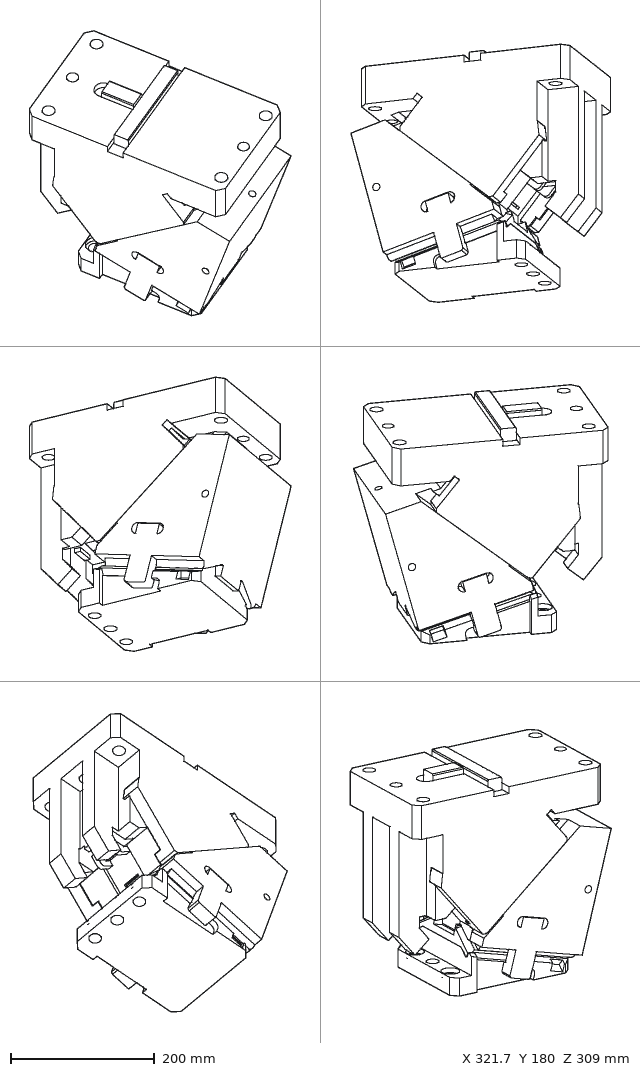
import cadquery as cq
import math

HALF_WIDTH = 90.0
FAR = 482.5

SLIDE_ANGLE = 40.0
SLIDE_N = -6.5
RAIL_TOP_N = 12.0
HEAD_TOP_N = 49.5
SLIDE_START_S = 142.5
SLOT_START_S = 115.8
RAIL_END_S = 323.0
HEAD_END_S = 328.0
RELIEF_END_S = 333.0
NECK_HALF = 59.0
HEAD_HALF = 70.5

GUIDE_ANGLE = 15.0
ROOF_ANGLE = 30.0
GUIDE_START_U = 81.0
GUIDE_EDGE_Y = 70.5
GUIDE_EDGE_V = 87.0
GUIDE_PEAK_V = 110.7
CHANNEL_HALF = 26.0
CHANNEL_V = 94.5

PLATE_LENGTH = 309.8
PLATE_TOP = 299.8
PLATE_FRONT_BOTTOM = 250.0
PLATE_REAR_BOTTOM = 244.8
PLATE_CORNER = 10.0
PLATE_HOLES = (
    (25.0, 70.0, 17.7),
    (25.0, 0.0, 16.7),
    (295.0, 65.0, 18.0),
    (295.0, 0.0, 16.0),
)
KEY_TOP = 309.0
KEY_SLOT_DEPTH = 10.0
KEY_CHAMFER_HEIGHT = 2.3
KEY_CHAMFER_WIDTH = 1.0
CROSS_SLOT = (128.7, 153.5)
CROSS_KEY = (129.5, 152.5)
CROSS_KEY_HALF = 73.0
LONG_SLOT_HALF = 13.0
LONG_SLOT_CENTER = 73.7
LONG_KEY = (77.5, 127.7)
LONG_KEY_HALF = 12.2

BODY_LEFT = 45.0
BODY_INNER_BOTTOM = 116.8
TIP_Z = 89.8
PAD_X = 42.0
PAD_TOP = 192.5
PAD_TOP_X = 44.5
PAD_INNER_Y = 59.8
ARM_INNER_Y = 22.5
ARM_OUTER_Y = 46.5
RAIL_CORNER = (3.5, 4.2)
HOOK = (
    (0.0, 93.3),
    (26.7, 61.8),
    (49.5, 81.0),
    (34.0, 100.0),
    (34.0, 116.8),
)
TONGUE_HALF = 14.0
TONGUE_BOTTOM = 124.0
WEB_X = 36.0
POCKET_X = 34.0
POCKET_HALF = 41.5
POCKET_TOP = 130.0
STOP_HALF = 38.5
STOP_BOTTOM_N = 4.5
STOP_CHAMFER = 9.3
STOP_END_S = 418.2

SLIDER_START_U = 87.0
HEAD_START_S = 144.5
SLIDER_END_U = 257.7
SLIDER_TOP_V = 281.2
WING_V = 96.5
FOOT_START_U = 96.0
FOOT_ROUNDING = 5.0
TAB_U = (144.8, 179.8)
TAB_BOTTOM_V = 56.0
HOOK_TOP_V = 72.7
TAB_CORNER = 3.0
TAB_TOP_V = 145.5
SEAM = 1.0
RELIEF_RADIUS = 8.0
SIDE_HOLE = (283.7, 122.2)
SIDE_HOLE_DIAMETER = 10.5
SIDE_HOLE_DEPTH = 5.0
TOP_HOLE_U = 244.5
TOP_HOLE_DIAMETER = 10.0
TOP_HOLE_DEPTH = 19.3
NOSE_X = 117.5
NOSE_S = 151.2
PRONG_Y = (14.0, 22.0)
PRONG_N = 41.2
PRONG_START_S = 126.7
PRONG_ROUNDING = 6.5
CLIP_SLOT_N = (5.0, 8.5)
CLIP_SLOT_HALF = 13.5
CLIP_SLOT_DEPTH = 4.5
WEAR_STEP = 2.0
WEAR_STEP_END_S = 181.5

BASE_LEFT = 70.5
BASE_WALL_LEFT = 99.7
BASE_RIGHT = 264.8
FLANGE_TOP = 26.7
BASE_HALF = 77.2
BASE_SIDE_HALF = 69.0
END_WALL = 9.5
BASE_CORNER = 10.0
GUIDE_PLATE_THICKNESS = 13.0
GUIDE_PLATE_END_U = 162.5
GUIDE_FLOOR_V = 84.3
PLATE_EDGE_Y = 72.5
REAR_GUIDE_EDGE_Y = 64.5
REAR_GUIDE_THICKNESS = 3.5
BASE_EDGE_V = 78.8
PLATE_EDGE_BEVEL = 2.5
BEVEL_DEPTH = 6.0
BEVEL_LENGTH = 9.0
BEVEL_INNER_Y = 30.5
FLANGE_HOLE_X = 85.0
FLANGE_HOLE_Y = 46.0
FLANGE_HOLE_DIAMETER = 17.5
FLANGE_BORE_DIAMETER = 26.0
FLANGE_BORE_DEPTH = 7.0
DOWEL_DIAMETER = 18.0
NOTCH_U = (220.5, 240.5)
NOTCH_V = 67.2
NOTCH_INNER_Y = 65.3
NOTCH_WALL = 9.5
SIDE_RELIEF_END_U = 194.5
SIDE_RELIEF_V = 68.2
SIDE_RELIEF_ROUNDING = 8.0


def tilted(along, across, angle):
    """X, Z of a point given along and across an axis turned by `angle` from +X towards +Z."""
    a = math.radians(angle)
    return (along * math.cos(a) - across * math.sin(a), along * math.sin(a) + across * math.cos(a))


def slide(s, n):
    return tilted(s, n, SLIDE_ANGLE)


def guide(u, v):
    return tilted(u, v, -GUIDE_ANGLE)


def prism(points, y_from, y_to):
    """Side outline in X, Z given a thickness from y_from to y_to."""
    plane = cq.Workplane("XZ", origin=(0, y_to, 0))
    return plane.polyline(points).close().extrude(y_to - y_from)


def centered_prism(points, half):
    return prism(points, -half, half)


def pair(solid):
    """A shape together with its mirror image across the middle plane."""
    return solid.union(solid.mirror("XZ"))


def slide_at_x(s, x):
    """Point with the given X on the line square to the slideway at s."""
    a = math.radians(SLIDE_ANGLE)
    return slide(s, (s * math.cos(a) - x) / math.sin(a))


def slide_at_z(s, z):
    """Point with the given Z on the line square to the slideway at s."""
    a = math.radians(SLIDE_ANGLE)
    return slide(s, (z - s * math.sin(a)) / math.cos(a))


def level_at_z(n, z):
    """Point with the given Z on the line along the slideway at n."""
    a = math.radians(SLIDE_ANGLE)
    return slide((z - n * math.cos(a)) / math.sin(a), n)


def nearest(point, y):
    """Selector for the edge whose middle is nearest to a point in X, Z at the given Y."""
    return cq.selectors.NearestToPointSelector((point[0], y, point[1]))


def slide_box(s_range, n_range, half):
    corners = [(s, n_range[0]) for s in s_range] + [(s, n_range[1]) for s in reversed(s_range)]
    return centered_prism([slide(s, n) for s, n in corners], half)


def guide_box(u_range, v_range, y_from, y_to):
    corners = [(u, v_range[0]) for u in u_range] + [(u, v_range[1]) for u in reversed(u_range)]
    return prism([guide(u, v) for u, v in corners], y_from, y_to)


def guide_section(points, u_from, u_to):
    """Cross-section in Y, v drawn square to the guide and extruded along it."""
    x, z = guide(u_from, 0)
    a = math.radians(GUIDE_ANGLE)
    plane = cq.Plane(origin=(x, 0, z), xDir=(0, 1, 0), normal=(math.cos(a), 0, -math.sin(a)))
    return cq.Workplane(plane).polyline(points).close().extrude(u_to - u_from)


def box(x_range, y_range, z_range):
    size = [r[1] - r[0] for r in (x_range, y_range, z_range)]
    corner = (x_range[0], y_range[0], z_range[0])
    return cq.Workplane("XY").box(*size, centered=False).translate(corner)


def cylinder(x, y, z_from, z_to, diameter):
    return cq.Workplane("XY", origin=(x, y, z_from)).circle(diameter / 2).extrude(z_to - z_from)


def roof_v(y):
    """Height of a guide face at distance y from the middle."""
    return GUIDE_EDGE_V + (GUIDE_EDGE_Y - y) * math.tan(math.radians(ROOF_ANGLE))


def top_plate():
    front = box((0, PLATE_LENGTH / 2), (-HALF_WIDTH, HALF_WIDTH), (PLATE_FRONT_BOTTOM, PLATE_TOP))
    rear = box((PLATE_LENGTH / 2, PLATE_LENGTH), (-HALF_WIDTH, HALF_WIDTH), (PLATE_REAR_BOTTOM, PLATE_TOP))
    return front.union(rear).edges("(<X or >X) and |Z").chamfer(PLATE_CORNER)


def holder_body():
    """Block under the plate, ending in the rails; the slot for the slider is cut later."""
    rail_s, rail_n = RAIL_CORNER
    points = [
        (BODY_LEFT, PLATE_FRONT_BOTTOM),
        slide_at_x(SLIDE_START_S, BODY_LEFT),
        slide_at_z(SLIDE_START_S, TIP_Z),
        level_at_z(SLIDE_N, TIP_Z),
        slide(RAIL_END_S - rail_s, SLIDE_N),
        slide(RAIL_END_S, SLIDE_N + rail_n),
        slide_at_z(RAIL_END_S, PLATE_FRONT_BOTTOM),
    ]
    return centered_prism(points, HALF_WIDTH)


def body_core():
    """Block between the side walls, reaching further down at the front."""
    points = [
        (BODY_LEFT, PLATE_FRONT_BOTTOM),
        (BODY_LEFT, BODY_INNER_BOTTOM),
        level_at_z(HEAD_TOP_N, BODY_INNER_BOTTOM),
        level_at_z(HEAD_TOP_N, PLATE_FRONT_BOTTOM),
    ]
    return centered_prism(points, HEAD_HALF)


def bearing_pads():
    """Raised pads with a sloping face on the front of the side walls and of the block beside them."""
    foot = slide_at_x(SLIDE_START_S, PAD_X)
    face = [(BODY_LEFT, PAD_TOP), (PAD_TOP_X, PAD_TOP), foot]
    inner = prism([*face, (BODY_LEFT, foot[1])], PAD_INNER_Y, HEAD_HALF)
    outer = prism([*face, slide_at_x(SLIDE_START_S, BODY_LEFT)], HEAD_HALF, HALF_WIDTH)
    return pair(inner.union(outer))


def hook_arms():
    points = [
        (0, PLATE_FRONT_BOTTOM),
        *HOOK,
        (BODY_LEFT, BODY_INNER_BOTTOM),
        (BODY_LEFT, PLATE_FRONT_BOTTOM),
    ]
    return pair(prism(points, ARM_INNER_Y, ARM_OUTER_Y))


def arm_web():
    """Web between the arms, with a tongue at its lower end."""
    web = box((WEB_X, BODY_LEFT), (-ARM_INNER_Y, ARM_INNER_Y), (POCKET_TOP, PLATE_FRONT_BOTTOM))
    return web.union(box((WEB_X, BODY_LEFT), (-TONGUE_HALF, TONGUE_HALF), (TONGUE_BOTTOM, POCKET_TOP)))


def stop_rib():
    """Rib under the plate past the slider head, chamfered on both long lower edges."""
    x, z = slide(RELIEF_END_S, 0)
    a = math.radians(SLIDE_ANGLE)
    plane = cq.Plane(origin=(x, 0, z), xDir=(0, -1, 0), normal=(-math.cos(a), 0, -math.sin(a)))
    section = [
        (-STOP_HALF, HEAD_TOP_N),
        (-STOP_HALF, STOP_BOTTOM_N + STOP_CHAMFER),
        (STOP_CHAMFER - STOP_HALF, STOP_BOTTOM_N),
        (STOP_HALF - STOP_CHAMFER, STOP_BOTTOM_N),
        (STOP_HALF, STOP_BOTTOM_N + STOP_CHAMFER),
        (STOP_HALF, HEAD_TOP_N),
    ]
    rib = cq.Workplane(plane).polyline(section).close().extrude(RELIEF_END_S - STOP_END_S)
    above_slider = guide_box((0, FAR), (SLIDER_TOP_V, FAR), -STOP_HALF, STOP_HALF)
    below_plate = box((0, PLATE_LENGTH), (-STOP_HALF, STOP_HALF), (0, PLATE_REAR_BOTTOM))
    return rib.intersect(above_slider).intersect(below_plate)


def slider_slot():
    """T-shaped slot along the slideway, level with the body's bottom at its lower end."""
    head = [
        (BODY_LEFT, BODY_INNER_BOTTOM),
        level_at_z(HEAD_TOP_N, BODY_INNER_BOTTOM),
        slide(RELIEF_END_S, HEAD_TOP_N),
        slide(RELIEF_END_S, RAIL_TOP_N),
        slide(SLOT_START_S, RAIL_TOP_N),
    ]
    neck = slide_box((SLOT_START_S, RELIEF_END_S), (SLIDE_N, RAIL_TOP_N), NECK_HALF)
    return centered_prism(head, HEAD_HALF).union(neck)


def end_gap():
    return slide_box((RAIL_END_S, RELIEF_END_S), (SLIDE_N, HEAD_TOP_N), HALF_WIDTH)


def front_pocket():
    """Pocket behind the arm necks, open downwards into the slider slot."""
    points = [
        (POCKET_X, BODY_INNER_BOTTOM),
        (POCKET_X, POCKET_TOP),
        level_at_z(HEAD_TOP_N, POCKET_TOP),
        level_at_z(HEAD_TOP_N, BODY_INNER_BOTTOM),
    ]
    return centered_prism(points, POCKET_HALF)


def key_slots():
    z_range = (PLATE_TOP - KEY_SLOT_DEPTH, PLATE_TOP)
    cross = box(CROSS_SLOT, (-HALF_WIDTH, HALF_WIDTH), z_range)
    long = box((LONG_SLOT_CENTER, CROSS_SLOT[0]), (-LONG_SLOT_HALF, LONG_SLOT_HALF), z_range)
    round_end = cylinder(LONG_SLOT_CENTER, 0, *z_range, 2 * LONG_SLOT_HALF)
    return cross.union(long).union(round_end)


def key(x_range, half, long_edges):
    """Key standing on the slot floor, with its two long top edges bevelled."""
    bar = box(x_range, (-half, half), (PLATE_TOP - KEY_SLOT_DEPTH, KEY_TOP))
    return bar.faces(">Z").edges(long_edges).chamfer(KEY_CHAMFER_HEIGHT, KEY_CHAMFER_WIDTH)


def plate_holes():
    holes = cq.Workplane("XY")
    for x, y, diameter in PLATE_HOLES:
        for side_y in {y, -y}:
            holes = holes.add(cylinder(x, side_y, PLATE_REAR_BOTTOM, PLATE_TOP, diameter))
    return holes.combine()


def make_holder():
    holder = top_plate().union(holder_body()).union(body_core()).union(bearing_pads()).union(hook_arms())
    holder = holder.cut(slider_slot()).cut(end_gap()).cut(front_pocket())
    holder = holder.union(arm_web()).union(stop_rib())
    holder = holder.cut(key_slots()).cut(plate_holes())
    return holder.union(key(CROSS_KEY, CROSS_KEY_HALF, "|Y")).union(key(LONG_KEY, LONG_KEY_HALF, "|X"))


def guide_tip(edge_y, edge_v, depth):
    """Point reached by going `depth` into the guide face, square to it, from its outer edge."""
    a = math.radians(ROOF_ANGLE)
    return (edge_y - depth * math.sin(a), edge_v - depth * math.cos(a))


def ridge_outline(outer):
    """Guide section: the points on the right half below and outside the guide face, then its mirror."""
    peak_y = GUIDE_EDGE_Y - (GUIDE_PEAK_V - GUIDE_EDGE_V) / math.tan(math.radians(ROOF_ANGLE))
    half = [*outer, (peak_y, GUIDE_PEAK_V), (CHANNEL_HALF, GUIDE_PEAK_V), (CHANNEL_HALF, CHANNEL_V)]
    return half + [(-y, v) for y, v in reversed(half)]


def guide_relief():
    """Everything below the guide faces, over the whole length of the slider."""
    outer = [(HALF_WIDTH, 0), (HALF_WIDTH, roof_v(HALF_WIDTH))]
    return guide_section(ridge_outline(outer), 0, FAR)


def top_s(n):
    """Position along the slideway where the level n meets the slider's top."""
    a = math.radians(SLIDE_ANGLE + GUIDE_ANGLE)
    return (SLIDER_TOP_V - n * math.cos(a)) / math.sin(a)


def top_n(s):
    """Level at which the line square to the slideway at s meets the slider's top."""
    a = math.radians(SLIDE_ANGLE + GUIDE_ANGLE)
    return (SLIDER_TOP_V - s * math.sin(a)) / math.cos(a)


def slider_body():
    points = [
        guide(SLIDER_START_U, GUIDE_EDGE_V),
        guide(SLIDER_END_U, GUIDE_EDGE_V),
        guide(SLIDER_END_U, SLIDER_TOP_V),
        slide(top_s(SLIDE_N), SLIDE_N),
        slide(SLIDE_START_S, SLIDE_N),
    ]
    foot_corner = nearest(guide(SLIDER_END_U, GUIDE_EDGE_V), 0)
    return centered_prism(points, HALF_WIDTH).edges(foot_corner).fillet(FOOT_ROUNDING)


def slider_neck():
    """Neck between the rails."""
    a = math.radians(SLIDE_ANGLE + GUIDE_ANGLE)
    start_n = (HEAD_START_S * math.cos(a) - SLIDER_START_U) / math.sin(a)
    points = [
        guide(SLIDER_START_U, WING_V),
        slide(HEAD_START_S, start_n),
        slide(HEAD_START_S, RAIL_TOP_N),
        slide(top_s(RAIL_TOP_N), RAIL_TOP_N),
        slide(top_s(SLIDE_N), SLIDE_N),
        guide(FOOT_START_U, WING_V),
    ]
    return centered_prism(points, NECK_HALF)


def slider_head():
    points = [
        slide(HEAD_START_S, RAIL_TOP_N),
        slide(HEAD_START_S, HEAD_TOP_N),
        slide(HEAD_END_S, HEAD_TOP_N),
        slide(HEAD_END_S, top_n(HEAD_END_S)),
        slide(top_s(RAIL_TOP_N), RAIL_TOP_N),
    ]
    return centered_prism(points, HEAD_HALF)


def wing_reliefs():
    """Space under the side wings, outside the foot and ahead of its front end."""
    slope = math.tan(math.radians(ROOF_ANGLE))
    foot_top_y = GUIDE_EDGE_Y + (WING_V - GUIDE_EDGE_V) * slope
    section = [
        (GUIDE_EDGE_Y, GUIDE_EDGE_V),
        (foot_top_y, WING_V),
        (HALF_WIDTH, WING_V),
        (HALF_WIDTH, GUIDE_EDGE_V),
    ]
    sides = pair(guide_section(section, 0, FAR))
    return sides.union(guide_box((0, FOOT_START_U), (0, WING_V), -HALF_WIDTH, HALF_WIDTH))


def nose_recess():
    """Upright recess in the lower end of the slider, above the channel of the guide."""
    points = [
        (0, 0),
        (NOSE_X, 0),
        slide_at_x(NOSE_S, NOSE_X),
        slide(NOSE_S, HEAD_TOP_N),
        (0, slide(NOSE_S, HEAD_TOP_N)[1]),
    ]
    return centered_prism(points, CHANNEL_HALF)


def clip_slot():
    """Shallow slot across the inner wall of the nose recess."""
    return slide_box((NOSE_S, NOSE_S + CLIP_SLOT_DEPTH), CLIP_SLOT_N, CLIP_SLOT_HALF)


def wear_step():
    return slide_box((0, WEAR_STEP_END_S), (SLIDE_N - WEAR_STEP, SLIDE_N), HALF_WIDTH)


def nose_prong():
    """Prong that reaches out of the recess and up to the holder's pocket; built on the middle plane."""
    half = (PRONG_Y[1] - PRONG_Y[0]) / 2
    bar = slide_box((PRONG_START_S, NOSE_S), (PRONG_N, HEAD_TOP_N), half)
    bar = bar.edges(nearest(slide(PRONG_START_S, PRONG_N), 0)).fillet(PRONG_ROUNDING)
    tip_outline = [
        slide(PRONG_START_S, HEAD_TOP_N),
        slide_at_z(PRONG_START_S, POCKET_TOP),
        level_at_z(HEAD_TOP_N, POCKET_TOP),
    ]
    return bar.union(centered_prism(tip_outline, half))


def side_tabs():
    """Retaining tabs below the wings, hanging beside the base and hooked under the guide plate."""
    tab = guide_box(TAB_U, (TAB_BOTTOM_V, WING_V), PLATE_EDGE_Y, HALF_WIDTH)
    tab = tab.union(guide_box(TAB_U, (TAB_BOTTOM_V, HOOK_TOP_V), BASE_SIDE_HALF, HALF_WIDTH))
    middle_y = (BASE_SIDE_HALF + HALF_WIDTH) / 2
    tab = tab.edges(nearest(guide(TAB_U[0], TAB_BOTTOM_V), middle_y)).chamfer(TAB_CORNER)
    return pair(tab.edges(nearest(guide(TAB_U[1], TAB_BOTTOM_V), middle_y)).fillet(TAB_CORNER))


def tab_reliefs():
    """Half-round reliefs beside the upper corners of a tab, joined by a thin seam."""
    center_v = TAB_TOP_V - RELIEF_RADIUS
    reliefs = cq.Workplane("XY")
    for u in TAB_U:
        x, z = guide(u, center_v)
        plane = cq.Workplane("XZ", origin=(x, HALF_WIDTH, z))
        reliefs = reliefs.add(plane.circle(RELIEF_RADIUS).extrude(HALF_WIDTH - BASE_SIDE_HALF))
    reliefs = reliefs.combine()
    tab = guide_box(TAB_U, (0, TAB_TOP_V), BASE_SIDE_HALF, HALF_WIDTH)
    seam = guide_box(TAB_U, (TAB_TOP_V - SEAM, TAB_TOP_V), BASE_SIDE_HALF, HALF_WIDTH)
    return pair(reliefs.cut(tab).union(seam))


def slider_holes():
    """Conical holes in both sides and a blind hole square to the slider's top."""
    x, z = SIDE_HOLE
    start = cq.Vector(x, -HALF_WIDTH, z)
    cone = cq.Solid.makeCone(SIDE_HOLE_DIAMETER / 2, 0, SIDE_HOLE_DEPTH, start, cq.Vector(0, 1, 0))
    side = cq.Workplane(cone)
    a = math.radians(GUIDE_ANGLE)
    up = (math.sin(a), 0, math.cos(a))
    x, z = guide(TOP_HOLE_U, SLIDER_TOP_V)
    plane = cq.Plane(origin=(x, 0, z), xDir=(0, 1, 0), normal=up)
    return pair(side).union(cq.Workplane(plane).circle(TOP_HOLE_DIAMETER / 2).extrude(-TOP_HOLE_DEPTH))


def make_slider():
    slider = slider_body().cut(wing_reliefs()).cut(wear_step()).union(slider_neck()).union(slider_head())
    slider = slider.cut(guide_relief()).cut(nose_recess()).cut(clip_slot())
    for side in (-1, 1):
        slider = slider.union(nose_prong().translate((0, side * sum(PRONG_Y) / 2, 0)))
    return slider.union(side_tabs()).cut(tab_reliefs()).cut(slider_holes())


def base_space(x_from, x_to):
    return box((x_from, x_to), (-BASE_HALF, BASE_HALF), (0, FAR))


def strip_outline(edge_y, thickness):
    """Underside and outer end of a guide strip, its end square to the sloping guide face."""
    edge = (edge_y, roof_v(edge_y))
    tip = guide_tip(*edge, thickness)
    slope = math.tan(math.radians(ROOF_ANGLE))
    middle = (tip[0] - (GUIDE_FLOOR_V - tip[1]) / slope, GUIDE_FLOOR_V)
    return [middle, tip, edge]


def base_core():
    """Block whose top slopes down to both sides, parallel to the guide faces."""
    slope = math.tan(math.radians(ROOF_ANGLE))
    middle_y = BASE_HALF - (CHANNEL_V - BASE_EDGE_V) / slope
    half = [(BASE_HALF, -FAR), (BASE_HALF, BASE_EDGE_V), (middle_y, CHANNEL_V)]
    core = guide_section(half + [(-y, v) for y, v in reversed(half)], -FAR, FAR)
    core = core.intersect(base_space(BASE_WALL_LEFT, BASE_RIGHT))
    return core.edges(">X and |Z").chamfer(BASE_CORNER)


def plate_seat():
    """Seat of the front guide plate, widened to the sides behind the front wall."""
    outline = strip_outline(PLATE_EDGE_Y, GUIDE_PLATE_THICKNESS)
    half = [*outline, (PLATE_EDGE_Y, FAR)]
    seat = guide_section(half + [(-y, v) for y, v in reversed(half)], -FAR, GUIDE_PLATE_END_U)
    (middle_y, middle_v), (tip_y, tip_v) = outline[:2]
    side_v = tip_v - (BASE_HALF - tip_y) * math.tan(math.radians(ROOF_ANGLE))
    points = [(middle_y, middle_v), (BASE_HALF, side_v), (BASE_HALF, FAR), (middle_y, FAR)]
    widened = pair(guide_section(points, -FAR, GUIDE_PLATE_END_U))
    return seat.union(widened.intersect(base_space(BASE_WALL_LEFT + END_WALL, BASE_RIGHT)))


def flange():
    plate = box((BASE_LEFT, BASE_WALL_LEFT + END_WALL), (-BASE_HALF, BASE_HALF), (0, FLANGE_TOP))
    plate = plate.edges("<X and |Z").chamfer(BASE_CORNER)
    for y in (-FLANGE_HOLE_Y, FLANGE_HOLE_Y):
        plate = plate.cut(cylinder(FLANGE_HOLE_X, y, 0, FLANGE_TOP, FLANGE_HOLE_DIAMETER))
        bore_bottom = FLANGE_TOP - FLANGE_BORE_DEPTH
        plate = plate.cut(cylinder(FLANGE_HOLE_X, y, bore_bottom, FLANGE_TOP, FLANGE_BORE_DIAMETER))
    return plate.cut(cylinder(FLANGE_HOLE_X, 0, 0, FLANGE_TOP, DOWEL_DIAMETER))


def side_notches():
    """Deep notches across the sloping top near the rear end."""
    slope = math.tan(math.radians(ROOF_ANGLE))
    foot_v = NOTCH_V + (BASE_HALF - NOTCH_INNER_Y) * slope
    wall_top = guide_tip(NOTCH_INNER_Y, foot_v, -NOTCH_WALL)
    section = [
        (BASE_HALF, NOTCH_V),
        (NOTCH_INNER_Y, foot_v),
        wall_top,
        (BASE_HALF, wall_top[1]),
    ]
    return pair(guide_section(section, *NOTCH_U))


def side_reliefs():
    """Reliefs in the base's sides for the tabs, reaching further back below their hook height."""
    y_range = (BASE_SIDE_HALF, BASE_HALF)
    tall = guide_box((-FAR, TAB_U[1]), (-FAR, FAR), *y_range)
    low = guide_box((0, SIDE_RELIEF_END_U), (-FAR, SIDE_RELIEF_V), *y_range)
    middle_y = (BASE_SIDE_HALF + BASE_HALF) / 2
    low = low.edges(nearest(guide(SIDE_RELIEF_END_U, SIDE_RELIEF_V), middle_y)).fillet(SIDE_RELIEF_ROUNDING)
    return pair(tall.union(low).intersect(base_space(BASE_WALL_LEFT + END_WALL, BASE_RIGHT)))


def lead_in_bevel():
    """Bevel across the front end of each sloping guide face."""
    a = math.radians(GUIDE_ANGLE)
    fall = math.radians(ROOF_ANGLE)
    x, z = guide(GUIDE_START_U, roof_v(BASE_HALF))
    up_slope = (math.sin(fall) * math.sin(a), -math.cos(fall), math.sin(fall) * math.cos(a))
    along = (math.cos(a), 0, -math.sin(a))
    plane = cq.Plane(origin=(x, BASE_HALF, z), xDir=along, normal=up_slope)
    outline = [(0, 0), (0, -BEVEL_DEPTH), (BEVEL_LENGTH, 0)]
    length = (BASE_HALF - BEVEL_INNER_Y) / math.cos(fall)
    return pair(cq.Workplane(plane).polyline(outline).close().extrude(length))


def front_guide():
    """Guide plate with bevelled front ends and outer edges."""
    middle, tip, edge = strip_outline(PLATE_EDGE_Y, GUIDE_PLATE_THICKNESS)
    bevel_y = PLATE_EDGE_Y - PLATE_EDGE_BEVEL * math.cos(math.radians(ROOF_ANGLE))
    outer = [middle, tip, guide_tip(*edge, PLATE_EDGE_BEVEL), (bevel_y, roof_v(bevel_y))]
    plate = guide_section(ridge_outline(outer), GUIDE_START_U, GUIDE_PLATE_END_U)
    return plate.cut(lead_in_bevel())


def rear_guide():
    outline = strip_outline(REAR_GUIDE_EDGE_Y, REAR_GUIDE_THICKNESS)
    strip = guide_section(ridge_outline(outline), GUIDE_PLATE_END_U, FAR)
    return strip.intersect(base_space(BASE_WALL_LEFT, BASE_RIGHT))


def make_base():
    base = base_core().cut(plate_seat()).cut(side_reliefs()).union(flange())
    return base.union(front_guide()).union(rear_guide()).cut(side_notches())


holder = make_holder()
slider = make_slider()
base = make_base()
result = cq.Compound.makeCompound([holder.val(), slider.val(), base.val()])